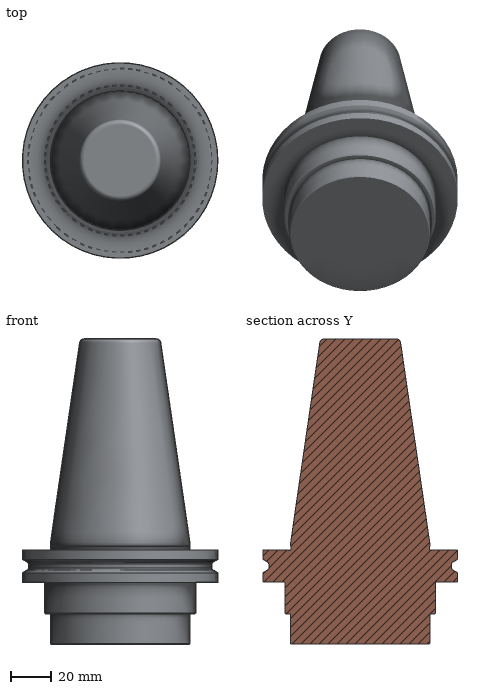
import cadquery as cq
import math

total_height = 151.8
shank_top = 15.0
collar_top = 30.8
flange_top = 46.9
neck_top = 48.5
neck_step_top = 48.9
gauge_height = 50.0

shank_radius = 34.8
collar_radius = 37.6
flange_radius = 48.5
gauge_radius = 34.8
neck_radius = 34.6
taper_ratio = 7 / 24

bottom_chamfer = 0.5
collar_chamfer = 0.6
tip_fillet = 2.5
neck_fillet = 0.5

relief_radius = 36.1
relief_depth = 0.2

groove_centre = 38.8
groove_floor = 3.2
groove_flank_angle = 30
groove_floor_radius = 45.5
groove_fillet = 0.9


def cylinder(radius, bottom, top):
    return cq.Workplane("XY").workplane(offset=bottom).circle(radius).extrude(top - bottom)


def make_taper():
    tip_radius = gauge_radius - (total_height - gauge_height) * taper_ratio / 2
    cone = (
        cq.Workplane("XZ")
        .moveTo(0, gauge_height)
        .lineTo(gauge_radius, gauge_height)
        .lineTo(tip_radius, total_height)
        .lineTo(0, total_height)
        .close()
        .revolve(360, (0, 0, 0), (0, 1, 0))
    )
    return cone.faces(">Z").edges().fillet(tip_fillet)


def make_neck():
    relief_floor = flange_top - relief_depth
    fillet_start = (neck_radius + neck_fillet, relief_floor)
    fillet_end = (neck_radius, relief_floor + neck_fillet)
    arc_inset = neck_fillet * (1 - math.sqrt(0.5))
    fillet_middle = (neck_radius + arc_inset, relief_floor + arc_inset)
    return (
        cq.Workplane("XZ")
        .moveTo(0, relief_floor)
        .lineTo(*fillet_start)
        .threePointArc(fillet_middle, fillet_end)
        .lineTo(neck_radius, neck_top)
        .lineTo(gauge_radius, neck_step_top)
        .lineTo(gauge_radius, gauge_height)
        .lineTo(0, gauge_height)
        .close()
        .revolve(360, (0, 0, 0), (0, 1, 0))
    )


def make_relief_cutter():
    relief_floor = flange_top - relief_depth
    return (
        cq.Workplane("XZ")
        .moveTo(0, relief_floor)
        .lineTo(neck_radius + neck_fillet, relief_floor)
        .lineTo(relief_radius, flange_top)
        .lineTo(0, flange_top)
        .close()
        .revolve(360, (0, 0, 0), (0, 1, 0))
    )


def make_groove_cutter():
    flank_rise = (flange_radius - groove_floor_radius) * math.tan(math.radians(groove_flank_angle))
    half_floor = groove_floor / 2
    half_mouth = half_floor + flank_rise
    cutter = (
        cq.Workplane("XZ")
        .moveTo(flange_radius, groove_centre - half_mouth)
        .lineTo(groove_floor_radius, groove_centre - half_floor)
        .lineTo(groove_floor_radius, groove_centre + half_floor)
        .lineTo(flange_radius, groove_centre + half_mouth)
        .close()
        .revolve(360, (0, 0, 0), (0, 1, 0))
    )
    floor_edges = cutter.edges(cq.selectors.RadiusNthSelector(0))
    return floor_edges.fillet(groove_fillet)


shank = cylinder(shank_radius, 0, shank_top).faces("<Z").edges().chamfer(bottom_chamfer)
collar = cylinder(collar_radius, shank_top, collar_top).faces("<Z").edges().chamfer(collar_chamfer)
flange = cylinder(flange_radius, collar_top, flange_top).cut(make_groove_cutter()).cut(make_relief_cutter())

result = shank.union(collar).union(flange).union(make_neck()).union(make_taper())